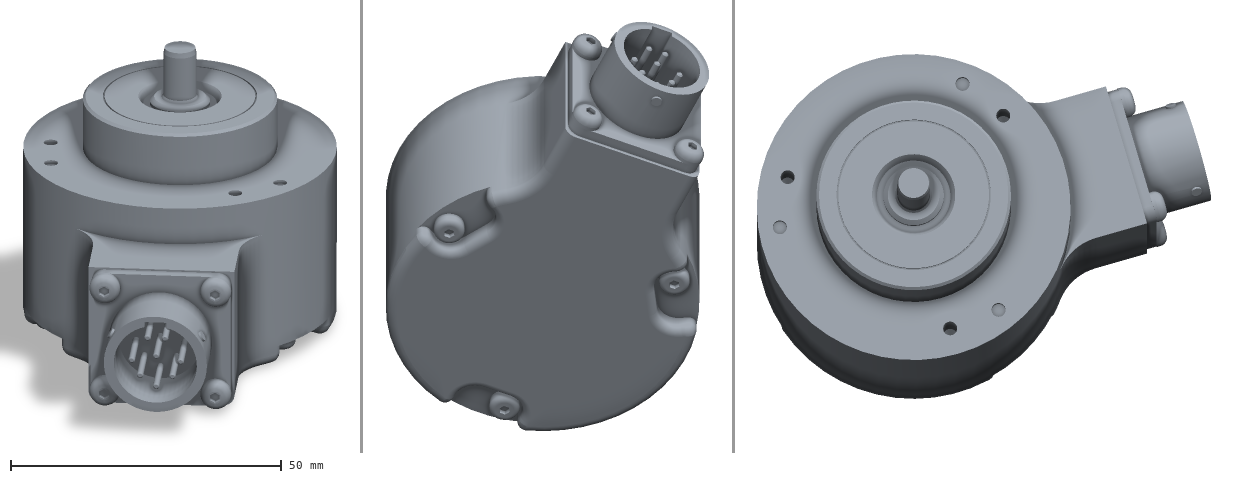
import cadquery as cq
import math


total_height = 54.0
body_radius = 29.0
body_top = 34.0
boss_radius = 18.0
boss_top = 44.2
boss_chamfer = 0.5

arm_angle = -30
arm_reach = 41.0
arm_half_width = 13.5
arm_top = 26.9
arm_blend_radius = 10.0
arm_overrun = 8.1

cover_height = 3.65
cover_edge_radius = 2.0
notch_angles = (30, 150, 270)
notch_corner_radius = 4.05
notch_rim_radius = 1.5
notch_half_width = 6.6
mount_circle_radius = 25.0
mount_offset_angle = -7.5

head_radius = 2.8
head_height = 2.35
plate_head_round = 1.6
cover_head_round = 1.05
socket_width = 1.8
socket_depth = 1.0

connector_z = 13.6
plate_half_width = 12.95
plate_thickness = 2.0
plate_corner_radius = 2.4
plate_screw_offset = 10.3
plate_face = arm_reach + plate_thickness
shell_diameter = 19.1
shell_radius = shell_diameter / 2
shell_bore_radius = 7.7
shell_end = 54.5
keyway_width = 4.05
keyway_height = 8.4
stud_position = 52.0
stud_radius = 1.0
stud_height = 0.4
stud_angles = (30, 150, 270)
pin_radius = 0.61
pin_end = 52.6
pin_tip_chamfer = 0.25
middle_pin_heights = (-5.3, 0.8)
paired_pins = ((1.6, 4.4), (4.5, -0.2), (3.0, -3.15))

shaft_diameter = 6.1
shaft_radius = shaft_diameter / 2
shaft_tip_radius = 2.8
shaft_tip_length = 1.0
shaft_foot_radius = 3.4
shaft_foot_height = 0.4
bearing_top = boss_top - 0.1
bearing_radius = 5.6
bearing_flat_radius = 4.8
bearing_bevel = 0.7
recess_radius = 7.7
recess_floor_radius = 6.8
recess_floor = boss_top - 1.4
groove_radius = 14.25
groove_width = 0.3
groove_depth = 0.3

hole_radius = 1.3
threaded_circle_radius = 24.0
threaded_angles = (0, 120, 240)
threaded_depth = 6.0
drill_point_height = 0.7
plain_hole_depth = 0.7


def polar(radius, angle):
    """XY point at a radius and an angle in degrees."""
    return radius * math.cos(math.radians(angle)), radius * math.sin(math.radians(angle))


def disc(radius, bottom, top):
    """Cylinder on the Z axis between two heights."""
    return cq.Workplane("XY").workplane(offset=bottom).circle(radius).extrude(top - bottom)


def rod(radius, start, end):
    """Cylinder along +X, centred on the connector axis."""
    return (cq.Workplane("YZ", origin=(start, 0, connector_z))
            .circle(radius).extrude(end - start))


def revolve_profile(points):
    """Solid of revolution about Z from (radius, height) points."""
    return cq.Workplane("XZ").polyline(points).close().revolve(360, (0, 0), (0, 1))


def turn_to_arm(shape):
    return shape.rotate((0, 0, 0), (0, 0, 1), arm_angle)


def arm_prism(reach, bottom, top):
    """Arm with concave blends tangent to the round body."""
    blend_y = arm_half_width + arm_blend_radius
    blend_x = math.sqrt((body_radius + arm_blend_radius) ** 2 - blend_y ** 2)
    blend_angle = math.degrees(math.atan2(blend_y, blend_x))
    touch_x, touch_y = polar(body_radius, blend_angle)
    middle_x, middle_y = polar(arm_blend_radius, (blend_angle + 180 + 270) / 2)
    middle_x += blend_x
    middle_y += blend_y
    outline = (cq.Workplane("XY").workplane(offset=bottom)
               .moveTo(0, 0)
               .lineTo(touch_x, -touch_y)
               .threePointArc((middle_x, -middle_y), (blend_x, -arm_half_width))
               .lineTo(reach, -arm_half_width)
               .lineTo(reach, arm_half_width)
               .lineTo(blend_x, arm_half_width)
               .threePointArc((middle_x, middle_y), (touch_x, touch_y))
               .close())
    return turn_to_arm(outline.extrude(top - bottom))


def cover_notch(angle):
    """Open-sided notch through the cover with a flat back and rounded corners."""
    depth = body_radius - mount_circle_radius + notch_corner_radius
    return (cq.Workplane("XY")
            .box(2 * depth, 2 * notch_half_width, cover_height, centered=(True, True, False))
            .edges("|Z and <X").fillet(notch_corner_radius)
            .translate((body_radius, 0, 0))
            .rotate((0, 0, 0), (0, 0, 1), angle))


def make_cover():
    """Bottom layer with rounded lower edges and rounded notch rims, arm end left square."""
    cover = disc(body_radius, 0, cover_height)
    cover = cover.union(arm_prism(arm_reach + arm_overrun, 0, cover_height))
    cover = cover.faces("<Z").edges().fillet(cover_edge_radius)
    for angle in notch_angles:
        cover = cover.cut(cover_notch(angle))
        back_x, back_y = polar(mount_circle_radius - notch_corner_radius, angle)
        back_edge = cq.selectors.NearestToPointSelector((back_x, back_y, 0))
        cover = cover.faces("<Z").edges(back_edge).fillet(notch_rim_radius)
    beyond_arm = (cq.Workplane("XY")
                  .box(2 * arm_overrun, 4 * arm_half_width, 3 * cover_height)
                  .translate((arm_reach + arm_overrun, 0, 0)))
    return cover.cut(turn_to_arm(beyond_arm))


def make_screw_head(edge_round):
    """Button head standing on the XY plane with a hexagon socket."""
    socket_across_corners = socket_width / math.cos(math.pi / 6)
    return (disc(head_radius, 0, head_height)
            .faces(">Z").edges().fillet(edge_round)
            .faces(">Z").workplane()
            .polygon(6, socket_across_corners).cutBlind(-socket_depth))


def make_connector():
    """Flanged connector shell with key slot, bayonet studs, contact pins and screws."""
    connector = (cq.Workplane("YZ", origin=(arm_reach, 0, connector_z))
                 .rect(2 * plate_half_width, 2 * plate_half_width).extrude(plate_thickness)
                 .edges("|X").fillet(plate_corner_radius))

    connector = connector.union(rod(shell_radius, plate_face, shell_end))
    stud = cq.Workplane("XY").circle(stud_radius).extrude(shell_radius + stud_height)
    for angle in stud_angles:
        placed = (stud.rotate((0, 0, 0), (1, 0, 0), angle - 90)
                  .translate((stud_position, 0, connector_z)))
        connector = connector.union(placed)

    connector = connector.cut(rod(shell_bore_radius, plate_face, shell_end))
    keyway = (cq.Workplane("XY")
              .box(shell_end - plate_face, keyway_width, keyway_height, centered=(False, True, False))
              .translate((plate_face, 0, connector_z)))
    connector = connector.cut(keyway)

    pin = rod(pin_radius, arm_reach, pin_end).faces(">X").chamfer(pin_tip_chamfer)
    pin_places = [(0, up) for up in middle_pin_heights]
    for across, up in paired_pins:
        pin_places += [(across, up), (-across, up)]
    for across, up in pin_places:
        connector = connector.union(pin.translate((0, across, up)))

    head = make_screw_head(plate_head_round).rotate((0, 0, 0), (0, 1, 0), 90)
    for across in (-plate_screw_offset, plate_screw_offset):
        for up in (-plate_screw_offset, plate_screw_offset):
            connector = connector.union(head.translate((plate_face, across, connector_z + up)))
    return turn_to_arm(connector)


def make_housing():
    """Round body, arm, cover and boss."""
    housing = disc(body_radius, cover_height, body_top)
    housing = housing.union(arm_prism(arm_reach, cover_height, arm_top))
    housing = housing.union(make_cover())
    boss = disc(boss_radius, body_top, boss_top).faces(">Z").edges().chamfer(boss_chamfer)
    return housing.union(boss)


def cut_boss_face(part):
    """Thin ring groove and the tapered recess around the bearing."""
    groove = disc(groove_radius, boss_top - groove_depth, boss_top)
    groove = groove.cut(disc(groove_radius - groove_width, boss_top - groove_depth, boss_top))
    recess = revolve_profile([
        (0, recess_floor),
        (recess_floor_radius, recess_floor),
        (recess_radius, boss_top),
        (0, boss_top),
    ])
    return part.cut(groove).cut(recess)


def make_shaft():
    """Bearing ring and the shaft with its tapered tip and flared foot."""
    return revolve_profile([
        (0, recess_floor),
        (bearing_radius, recess_floor),
        (bearing_radius, bearing_top - bearing_bevel),
        (bearing_flat_radius, bearing_top),
        (shaft_foot_radius, bearing_top),
        (shaft_radius, bearing_top + shaft_foot_height),
        (shaft_radius, total_height - shaft_tip_length),
        (shaft_tip_radius, total_height),
        (0, total_height),
    ])


def cut_flange_holes(part):
    """Blind threaded holes with drill points, and shallow plain holes."""
    threaded = revolve_profile([
        (0, body_top),
        (hole_radius, body_top),
        (hole_radius, body_top - threaded_depth),
        (0, body_top - threaded_depth - drill_point_height),
    ])
    plain = disc(hole_radius, body_top - plain_hole_depth, body_top)
    for angle in threaded_angles:
        part = part.cut(threaded.translate(polar(threaded_circle_radius, angle) + (0,)))
    for angle in notch_angles:
        place = polar(mount_circle_radius, angle + mount_offset_angle)
        part = part.cut(plain.translate(place + (0,)))
    return part


def add_cover_screws(part):
    """Screw heads hanging from the ceiling of each cover notch."""
    head = make_screw_head(cover_head_round).rotate((0, 0, 0), (1, 0, 0), 180)
    for angle in notch_angles:
        place = polar(mount_circle_radius, angle + mount_offset_angle)
        part = part.union(head.translate(place + (cover_height,)))
    return part


result = make_housing()
result = cut_boss_face(result)
result = result.union(make_shaft())
result = cut_flange_holes(result)
result = add_cover_screws(result)
result = result.union(make_connector())